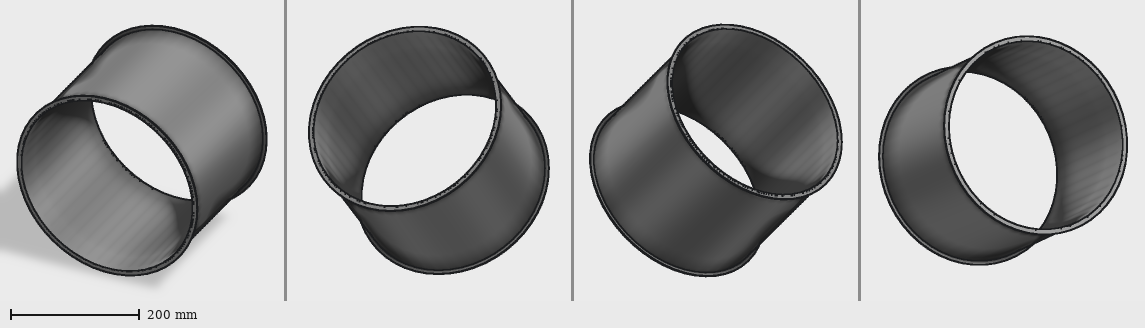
import cadquery as cq

flange_diameter = 315.0
tube_outer_diameter = 303.0
bore_diameter = 299.0
length = 238.0
flange_thickness = (tube_outer_diameter - bore_diameter) / 2


def ring_along_y(outer_diameter, start_y, ring_length):
    """Ring with the common bore, running from start_y toward +Y."""
    return (
        cq.Workplane("XZ", origin=(0, start_y, 0))
        .circle(outer_diameter / 2)
        .circle(bore_diameter / 2)
        .extrude(-ring_length)
    )


result = ring_along_y(tube_outer_diameter, -length / 2, length)

for flange_start in (-length / 2, length / 2 - flange_thickness):
    result = result.union(ring_along_y(flange_diameter, flange_start, flange_thickness))